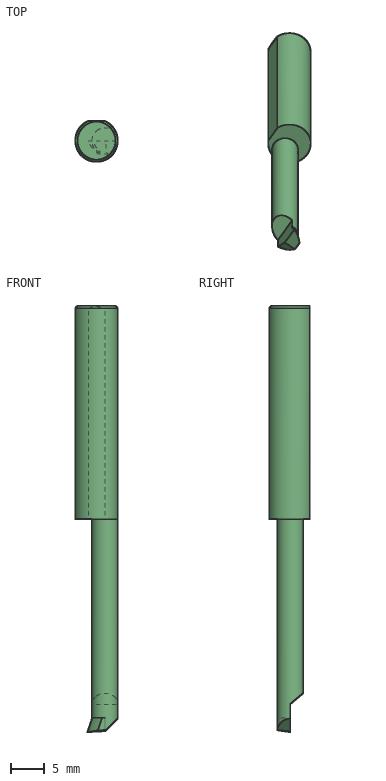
import math

import cadquery as cq

TOTAL_LENGTH = 63.49
SHANK_LENGTH = 31.75
SHANK_DIAMETER = 6.35
SHANK_ACROSS_FLAT = 6.1
SHANK_CHAMFER = 0.35

NECK_DIAMETER = 3.9

HALF_SECTION_LENGTH = 4.2
RUNOUT_ANGLE = 40.0

HEAD_HEIGHT = 2.15
POINT_X = -1.37
HEAD_SLANT = 0.72
BACK_CHAMFER_BOTTOM_X = 1.15
BACK_CHAMFER_ANGLE = 45.0
RELIEF_WIDTH = 1.48
RELIEF_RADIUS = 6.0
END_EDGE_ANGLE = 3.0
END_RELIEF_ANGLE = 6.0

SHANK_RADIUS = SHANK_DIAMETER / 2
NECK_LENGTH = TOTAL_LENGTH - SHANK_LENGTH
NECK_RADIUS = NECK_DIAMETER / 2
NECK_X = SHANK_RADIUS - NECK_RADIUS
CUT_SIZE = 2 * SHANK_DIAMETER


def make_shank():
    """Round shank with a chamfered free end and one flat on the +Y side."""
    shank = (
        cq.Workplane("XY")
        .workplane(offset=NECK_LENGTH)
        .circle(SHANK_RADIUS)
        .extrude(SHANK_LENGTH)
        .faces(">Z")
        .chamfer(SHANK_CHAMFER)
    )
    flat_y = SHANK_ACROSS_FLAT - SHANK_RADIUS
    beyond_flat = (
        cq.Workplane("XY")
        .workplane(offset=NECK_LENGTH)
        .center(0, flat_y + CUT_SIZE / 2)
        .rect(CUT_SIZE, CUT_SIZE)
        .extrude(SHANK_LENGTH)
    )
    return shank.cut(beyond_flat)


def make_neck():
    """Eccentric neck, halved near the tip, without the part the head replaces."""
    neck = cq.Workplane("XY").center(NECK_X, 0).circle(NECK_RADIUS).extrude(NECK_LENGTH)
    runout_slope = math.tan(math.radians(RUNOUT_ANGLE))
    halving_cut = (
        cq.Workplane("YZ")
        .moveTo(0, -CUT_SIZE)
        .lineTo(0, HALF_SECTION_LENGTH)
        .lineTo(CUT_SIZE, HALF_SECTION_LENGTH + CUT_SIZE * runout_slope)
        .lineTo(CUT_SIZE, -CUT_SIZE)
        .close()
        .extrude(CUT_SIZE, both=True)
    )
    head_space = (
        cq.Workplane("XY")
        .center(NECK_X - CUT_SIZE / 2, 0)
        .rect(CUT_SIZE, CUT_SIZE)
        .extrude(HEAD_HEIGHT)
    )
    chamfer_rise = CUT_SIZE * math.tan(math.radians(BACK_CHAMFER_ANGLE))
    back_chamfer = (
        cq.Workplane("XZ")
        .moveTo(BACK_CHAMFER_BOTTOM_X, 0)
        .lineTo(BACK_CHAMFER_BOTTOM_X + CUT_SIZE, chamfer_rise)
        .lineTo(BACK_CHAMFER_BOTTOM_X + CUT_SIZE, 0)
        .close()
        .extrude(CUT_SIZE, both=True)
    )
    return neck.cut(halving_cut).cut(head_space).cut(back_chamfer)


def make_head():
    """Slanting cutting head with a rounded side relief and a flat back."""
    relief_chord = math.hypot(RELIEF_WIDTH, NECK_RADIUS)
    relief_sagitta = RELIEF_RADIUS - math.sqrt(RELIEF_RADIUS**2 - (relief_chord / 2) ** 2)
    relief_middle = (
        POINT_X + RELIEF_WIDTH / 2 - relief_sagitta * NECK_RADIUS / relief_chord,
        -NECK_RADIUS / 2 - relief_sagitta * RELIEF_WIDTH / relief_chord,
    )
    bottom_outline = (
        cq.Workplane("XY")
        .moveTo(POINT_X, 0)
        .threePointArc(relief_middle, (POINT_X + RELIEF_WIDTH, -NECK_RADIUS))
        .lineTo(NECK_X, -NECK_RADIUS)
        .lineTo(NECK_X, 0)
        .close()
    )
    slanted = cq.Solid.extrudeLinear(bottom_outline.val(), [], cq.Vector(HEAD_SLANT, 0, HEAD_HEIGHT))
    beyond_neck_axis = (
        cq.Workplane("XY")
        .center(NECK_X + CUT_SIZE / 2, 0)
        .rect(CUT_SIZE, CUT_SIZE)
        .extrude(HEAD_HEIGHT)
    )
    return cq.Workplane(slanted).cut(beyond_neck_axis)


def make_end_relief():
    """Body below the sloping end face, which rises from the point towards +X and -Y."""
    return (
        cq.Workplane("XY")
        .box(CUT_SIZE, CUT_SIZE, CUT_SIZE, centered=(True, True, False))
        .translate((0, 0, -CUT_SIZE))
        .rotate((0, 0, 0), (1, 0, 0), -END_RELIEF_ANGLE)
        .rotate((0, 0, 0), (0, 1, 0), -END_EDGE_ANGLE)
        .translate((POINT_X, 0, 0))
    )


tip = make_neck().union(make_head()).cut(make_end_relief())
result = make_shank().union(tip)